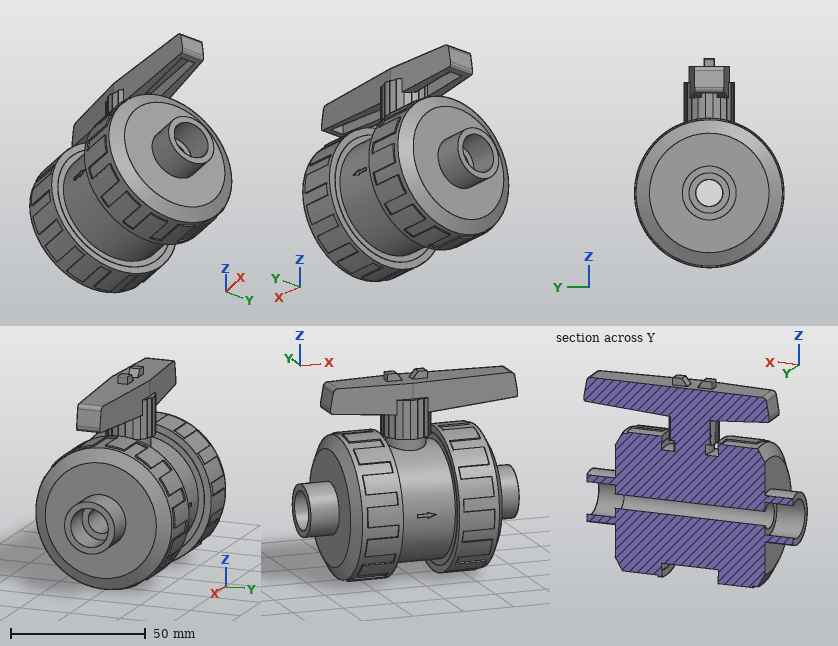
import cadquery as cq
import math


pipe_diameter = 20.0
socket_diameter = 15.0
bore_diameter = 10.0
body_diameter = 45.0
pipe_half_length = 41.2

nut_outer_diameter = 55.5
nut_root_diameter = 54.35
nut_end_diameter = 44.4
nut_bore_diameter = 49.9
nut_inner_x = 11.1
nut_outer_x = 30.0
nut_chamfer_x = 27.05
grip_start_x = 12.9
grip_end_x = 25.0
nut_bore_recess = 0.2
grip_count = 14
grip_gap_angle = 10.0
grip_pitch_angle = 360 / grip_count
grip_first_angle = -7.7

socket_depth = pipe_half_length - nut_outer_x

arrow_half_length = 3.7
arrow_neck_x = 0.3
arrow_shaft_half_width = 0.6
arrow_head_half_width = 1.1
arrow_height = 0.25

neck_diameter = 15.0
stem_radius = 9.4
stem_flat_radius = 9.05
stem_bottom_z = 26.0
stem_top_z = 40.95
land_count = 10
land_half_angle = 360 / land_count / 4

overall_length = 83.75
handle_short_tip_x = -31.7
handle_long_tip_x = overall_length - pipe_half_length
handle_top_z = 47.0
handle_tip_bottom_z = 37.35
handle_tip_band_z = 39.2
handle_middle_bottom_z = 34.75
handle_half_width = 7.5
handle_side_slope = 0.068
tip_lean_angle = 10.0
tip_top_fillet = 1.85
tip_bottom_fillet = 0.8
channel_width = 5.9
channel_tip_wall = 3.35

pointer_top_z = 49.8
pointer_outer_x = 7.95
pointer_crest_x = 4.2
pointer_foot_x = 2.0
pointer_width = 3.85
pointer_fillet = 0.5


def x_cylinder(diameter, start_x, end_x):
    """Cylinder on the flow axis between two X positions."""
    plane = cq.Workplane("YZ", origin=(start_x, 0, 0))
    return plane.circle(diameter / 2).extrude(end_x - start_x)


def polar(radius, angle):
    """Point at a radius and an angle in degrees."""
    return (radius * math.cos(math.radians(angle)), radius * math.sin(math.radians(angle)))


def make_nut():
    """Union nut on the +X side: a chamfered root under a collar cut into grip pads.

    The inner face has a shallow recess around the body.
    """
    core = x_cylinder(nut_root_diameter, nut_inner_x, nut_outer_x)
    chamfer_length = nut_outer_x - nut_chamfer_x
    chamfer_depth = (nut_root_diameter - nut_end_diameter) / 2
    core = core.faces(">X").chamfer(chamfer_length, chamfer_depth)

    half_angle = grip_gap_angle / 2
    inner_radius = nut_end_diameter / 2
    outer_radius = nut_outer_diameter
    gap = (
        cq.Workplane("YZ", origin=(grip_start_x, 0, 0))
        .moveTo(*polar(inner_radius, -half_angle))
        .lineTo(*polar(outer_radius, -half_angle))
        .lineTo(*polar(outer_radius, half_angle))
        .lineTo(*polar(inner_radius, half_angle))
        .close()
        .extrude(grip_end_x - grip_start_x)
    )
    collar = x_cylinder(nut_outer_diameter, nut_inner_x, grip_end_x)
    for index in range(grip_count):
        angle = grip_first_angle + index * grip_pitch_angle
        collar = collar.cut(gap.rotate((0, 0, 0), (1, 0, 0), angle))
    nut = collar.union(core)
    return nut.cut(x_cylinder(nut_bore_diameter, nut_inner_x, nut_inner_x + nut_bore_recess))


def make_arrows():
    """Raised flow arrows on both sides of the body, pointing to +X."""
    half_outline = [
        (-arrow_half_length, arrow_shaft_half_width),
        (arrow_neck_x, arrow_shaft_half_width),
        (arrow_neck_x, arrow_head_half_width),
    ]
    tip = (arrow_half_length, 0)
    mirrored = [(x, -z) for x, z in reversed(half_outline)]
    arrow = cq.Workplane("XZ").polyline(half_outline + [tip] + mirrored).close()
    skin = x_cylinder(body_diameter + 2 * arrow_height, -arrow_half_length, arrow_half_length)
    return arrow.extrude(body_diameter, both=True).intersect(skin)


def make_stem():
    """Stem head with round lands and slightly sunk flats, on a round neck."""
    neck = cq.Workplane("XY").circle(neck_diameter / 2).extrude(stem_top_z)
    outline = cq.Workplane("XY", origin=(0, 0, stem_bottom_z))
    outline = outline.moveTo(*polar(stem_flat_radius, 90 - land_half_angle))
    for index in range(land_count):
        middle = 90 + index * 360 / land_count
        outline = outline.lineTo(*polar(stem_radius, middle - land_half_angle))
        outline = outline.threePointArc(
            polar(stem_radius, middle), polar(stem_radius, middle + land_half_angle)
        )
        outline = outline.lineTo(*polar(stem_flat_radius, middle + land_half_angle))
        if index < land_count - 1:
            outline = outline.lineTo(*polar(stem_flat_radius, middle + 3 * land_half_angle))
    head = outline.close().extrude(stem_top_z - stem_bottom_z)
    return neck.union(head)


def make_handle():
    """Lever that tapers in plan and in height, with a channel along its underside.

    Each tip leans inward above a short upright band.
    """
    lean = (handle_top_z - handle_tip_band_z) * math.tan(math.radians(tip_lean_angle))
    side = [
        (handle_short_tip_x, handle_tip_bottom_z),
        (handle_short_tip_x, handle_tip_band_z),
        (handle_short_tip_x + lean, handle_top_z),
        (handle_long_tip_x - lean, handle_top_z),
        (handle_long_tip_x, handle_tip_band_z),
        (handle_long_tip_x, handle_tip_bottom_z),
        (0, handle_middle_bottom_z),
    ]
    short_half_width = handle_half_width + handle_side_slope * handle_short_tip_x
    long_half_width = handle_half_width - handle_side_slope * handle_long_tip_x
    plan = [
        (handle_short_tip_x, short_half_width),
        (0, handle_half_width),
        (handle_long_tip_x, long_half_width),
        (handle_long_tip_x, -long_half_width),
        (0, -handle_half_width),
        (handle_short_tip_x, -short_half_width),
    ]
    lever = cq.Workplane("XZ").polyline(side).close().extrude(handle_half_width, both=True)
    lever = lever.edges("|Y and >Z").fillet(tip_top_fillet)
    for tip_x in (handle_short_tip_x, handle_long_tip_x):
        lower_corner = cq.NearestToPointSelector((tip_x, 0, handle_tip_bottom_z))
        lever = lever.edges(lower_corner).fillet(tip_bottom_fillet)
    lever = lever.intersect(cq.Workplane("XY").polyline(plan).close().extrude(handle_top_z))

    channel_start_x = handle_short_tip_x + channel_tip_wall
    channel_end_x = handle_long_tip_x - channel_tip_wall
    channel = cq.Workplane("XY").box(
        channel_end_x - channel_start_x, channel_width, stem_top_z, centered=(False, True, False)
    )
    return lever.cut(channel.translate((channel_start_x, 0, 0)))


def make_pointer():
    """Block on the +X half of the handle top, sloping down toward the stem axis."""
    profile = [
        (pointer_foot_x, handle_top_z),
        (pointer_crest_x, pointer_top_z),
        (pointer_outer_x, pointer_top_z),
        (pointer_outer_x, handle_top_z),
    ]
    pointer = cq.Workplane("XZ").polyline(profile).close().extrude(pointer_width / 2, both=True)
    return pointer.edges("|Y and >X and >Z").fillet(pointer_fillet)


nut = make_nut()
pointer = make_pointer()

valve = x_cylinder(pipe_diameter, -pipe_half_length, pipe_half_length)
valve = valve.union(x_cylinder(body_diameter, -nut_chamfer_x, nut_chamfer_x))
valve = valve.union(make_arrows())
valve = valve.union(make_stem())
valve = valve.union(make_handle())
for half_turn in (0, 180):
    valve = valve.union(nut.rotate((0, 0, 0), (0, 0, 1), half_turn))
    valve = valve.union(pointer.rotate((0, 0, 0), (0, 0, 1), half_turn))

valve = valve.cut(x_cylinder(bore_diameter, -pipe_half_length, pipe_half_length))
valve = valve.cut(x_cylinder(socket_diameter, -pipe_half_length, socket_depth - pipe_half_length))
valve = valve.cut(x_cylinder(socket_diameter, pipe_half_length - socket_depth, pipe_half_length))

result = valve